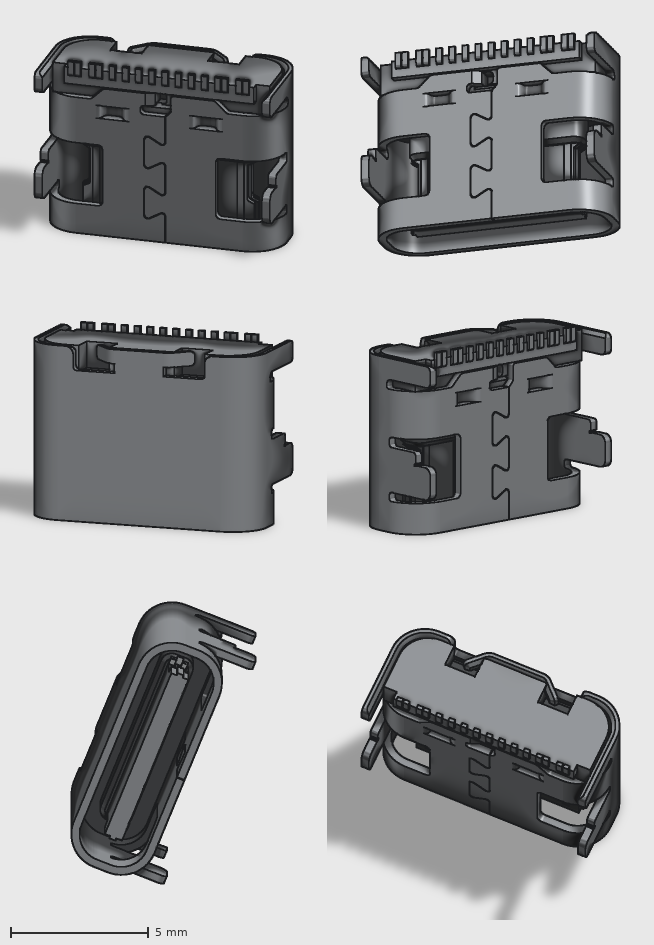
import cadquery as cq
import math

SHELL_WIDTH = 8.94
SHELL_DEPTH = 3.16
SHELL_HEIGHT = 6.48
SHEET = 0.30
OUTER_RADIUS = 1.30
HALF_WIDTH = SHELL_WIDTH / 2
BACK_Y = SHELL_DEPTH / 2
FRONT_Y = -BACK_Y
INNER_HALF_WIDTH = HALF_WIDTH - SHEET
INNER_BACK_Y = BACK_Y - SHEET
INNER_FRONT_Y = -INNER_BACK_Y
INNER_RADIUS = OUTER_RADIUS - SHEET
EDGE_CHAMFER = 0.15
MARGIN = 1.0
SELECT_REACH = 0.02

FRONT_SHOULDER_Z = 5.33
FRONT_CREST_Z = 5.78
CREST_HALF_WIDTH = 2.115
CREST_FOOT_HALF_WIDTH = 2.585
CREST_FILLET = 0.20
WINDOW_INNER_X = 1.16
WINDOW_WIDTH = 1.23
WINDOW_Z = 4.60
WINDOW_HEIGHT = 0.50
WINDOW_DIP = 0.40
DIP_FLOOR_START = 0.40
DIP_FLOOR_END = 0.70

SEAM_X = 0.245
TOOTH_TIP_X = -0.556
TOOTH_CENTRES_Z = (3.475, 1.50)
TOOTH_TIP_HALF_HEIGHT = 0.70
TOOTH_ROOT_HALF_HEIGHT = 0.25
TOOTH_FILLET = 0.13
SEAM_GAP = 0.025
RELIEF_LEFT_X = -0.534
RELIEF_RIGHT_X = 0.448
RELIEF_LIP_X = -0.19
RELIEF_LIP_DROP = 0.15
RELIEF_POCKET_X = -0.72
RELIEF_POCKET_TOP_Z = 5.29
RELIEF_FLOOR_Z = 4.94
RELIEF_BEND_Z = 5.15
RELIEF_FILLET = 0.10
RELIEF_POCKET_FILLET = 0.16

LEG_TIP_Y = -2.48
LEG_ROOT_Y = 0.0
UPPER_LEG_Z = 5.69
UPPER_LEG_FILLET = 0.21
UPPER_SLOT_END_Y = -0.124
UPPER_SLOT_TOP_FILLET = 0.22
UPPER_SLOT_BOTTOM_FILLET = 0.12
LOWER_LEG_Z = 1.50
LOWER_LEG_STEP_Z = 2.705
LOWER_LEG_TOP_Z = 3.175
LOWER_LEG_STEP_Y = -1.69
LOWER_LEG_FILLET = 0.29
STEP_FILLET = 0.13
STEP_RELIEF_DEPTH = 0.07
STEP_RELIEF_HEIGHT = 0.03
LEG_OPENING_Z = 1.16
LEG_OPENING_TOP_Z = 3.55
LEG_OPENING_END_Y = -0.274
LEG_OPENING_FRONT_X = 2.145
LEG_OPENING_FRONT_FILLET = 0.20
LEG_OPENING_SIDE_FILLET = 0.12

WING_ANGLE = math.radians(45)
WING_BEND_X = 1.18
WING_REACH = 0.725
WING_BEND_RADIUS = 0.50
WING_ROOT_X = 0.95
WING_TIP_FILLET = 0.16
WING_Z = 5.95
BACK_CUT_HALF_WIDTH = 2.555
BACK_CUT_Z = 5.60
BACK_CUT_TOP_FILLET = 0.29
BACK_CUT_BOTTOM_FILLET = 0.15

HOUSING_HALF_WIDTH = 4.12
HOUSING_Z = 4.20
HOUSING_BACK_RADIUS = 1.16
HOUSING_FRONT_RADIUS = 1.00
FRONT_LEDGE_HALF_WIDTH = 3.60
FRONT_LEDGE_Z = 5.835
NOTCH_INNER_X = 1.256
NOTCH_OUTER_X = 2.445
NOTCH_FRONT_Y = 0.446
NOTCH_Z = 5.50
NOTCH_CHAMFER = 0.15
RECESS_RIGHT_X = 0.20
RECESS_Z = 5.29
RECESS_FLOOR_Y = -0.75
RECESS_FILLET = 0.17
RAMP_SIZE = 0.14

BASE_HALF_WIDTH = 3.34
BASE_HALF_THICKNESS = 0.61
BASE_FILLET = 0.41
BASE_Z = 3.01
BASE_CHAMFER = 0.17
TONGUE_TIP_Z = 0.30
TONGUE_HALF_THICKNESS = 0.335
PLATE_HALF_THICKNESS = 0.12
LATCH_TOP_Z = 2.85
LATCH_BOTTOM_Z = 1.50
LATCH_RAMP = 0.12
LATCH_FILLET = 0.12
TONGUE_WAIST_HALF_WIDTH = 2.98
TONGUE_HALF_WIDTH = 3.24
PLATE_RIM = 0.09
CONTACT_CENTRES_X = (1.25, 2.74)
CONTACT_WIDTH = 0.26
CONTACT_RAISE = 0.05
CONTACT_BOTTOM_Z = 0.67

PIN_WIDTH = 0.22
PIN_BOTTOM_Z = 6.165
PIN_TOP_Z = 6.75
PIN_FRONT_Y = -1.70
PIN_BACK_Y = -1.56
PIN_FILLET = 0.13
PIN_PITCH = 0.50
SINGLE_PIN_COUNT = 8
PAIR_CENTRES_X = (2.385, 3.19)
PAIR_PITCH = 0.26


def box(x0, x1, y0, y1, z0, z1):
    """Axis-aligned box from its limits."""
    return cq.Workplane("XY").box(x1 - x0, y1 - y0, z1 - z0, centered=False).translate((x0, y0, z0))


def prism_xy(points, z0, z1):
    """Polygon in plan, extruded from z0 to z1."""
    return cq.Workplane("XY").workplane(offset=z0).polyline(points).close().extrude(z1 - z0)


def prism_xz(points, y0, y1):
    """Polygon in X and Z, extruded from y0 to y1."""
    return cq.Workplane("XZ", origin=(0, y0, 0)).polyline(points).close().extrude(y0 - y1)


def prism_yz(points, x0, x1):
    """Polygon in Y and Z, extruded from x0 to x1."""
    return cq.Workplane("YZ", origin=(x0, 0, 0)).polyline(points).close().extrude(x1 - x0)


def centred_at(x, y, z):
    """Selector for the edge whose middle lies at a point."""
    low = (x - SELECT_REACH, y - SELECT_REACH, z - SELECT_REACH)
    high = (x + SELECT_REACH, y + SELECT_REACH, z + SELECT_REACH)
    return cq.selectors.BoxSelector(low, high)


def mirrored(body):
    """The body together with its mirror image across the YZ plane."""
    return body.union(body.mirror("YZ"))


def rounded_block(half_width, half_depth, radius, z0, z1):
    block = box(-half_width, half_width, -half_depth, half_depth, z0, z1)
    return block.edges("|Z").fillet(radius)


def make_legs():
    """Upper and lower leg plates, lying in the planes of the two side walls."""
    upper = box(-HALF_WIDTH, HALF_WIDTH, LEG_TIP_Y, LEG_ROOT_Y, UPPER_LEG_Z, SHELL_HEIGHT)
    upper = upper.edges("|X and <Y").fillet(UPPER_LEG_FILLET)
    relief_y = LOWER_LEG_STEP_Y + STEP_RELIEF_DEPTH
    relief_z = LOWER_LEG_STEP_Z - STEP_RELIEF_HEIGHT
    lower = prism_yz(
        [
            (LEG_ROOT_Y, LOWER_LEG_Z),
            (LEG_TIP_Y, LOWER_LEG_Z),
            (LEG_TIP_Y, LOWER_LEG_STEP_Z),
            (LOWER_LEG_STEP_Y - STEP_RELIEF_DEPTH, LOWER_LEG_STEP_Z),
            (LOWER_LEG_STEP_Y, relief_z),
            (relief_y, relief_z),
            (relief_y, LOWER_LEG_STEP_Z + STEP_RELIEF_HEIGHT),
            (LOWER_LEG_STEP_Y, LOWER_LEG_STEP_Z + STEP_RELIEF_DEPTH),
            (LOWER_LEG_STEP_Y, LOWER_LEG_TOP_Z),
            (LEG_ROOT_Y, LOWER_LEG_TOP_Z),
        ],
        -HALF_WIDTH,
        HALF_WIDTH,
    )
    lower = lower.edges("|X and <Y").fillet(LOWER_LEG_FILLET)
    lower = lower.edges(centred_at(0, LOWER_LEG_STEP_Y, LOWER_LEG_TOP_Z)).fillet(STEP_FILLET)
    between = box(-INNER_HALF_WIDTH, INNER_HALF_WIDTH, LEG_TIP_Y, LEG_ROOT_Y, 0, SHELL_HEIGHT)
    return upper.union(lower).cut(between)


def make_leg_openings():
    """Cutters that free the lower legs and run round the front corners."""
    low_x = -HALF_WIDTH - MARGIN
    low_y = FRONT_Y - MARGIN
    face_cut = box(low_x, -LEG_OPENING_FRONT_X, low_y, LEG_OPENING_END_Y, LEG_OPENING_Z, LEG_OPENING_TOP_Z)
    side_cut = face_cut.edges("|X and >Y").fillet(LEG_OPENING_SIDE_FILLET)
    face_cut = face_cut.edges("|Y and >X").fillet(LEG_OPENING_FRONT_FILLET)
    return mirrored(face_cut.intersect(side_cut))


def make_upper_cut():
    """Cutter that removes the front wall above its shoulders."""
    slot = box(
        -HALF_WIDTH - MARGIN,
        HALF_WIDTH + MARGIN,
        FRONT_Y - MARGIN,
        UPPER_SLOT_END_Y,
        FRONT_SHOULDER_Z,
        UPPER_LEG_Z,
    )
    slot = slot.edges("|X and >Y and >Z").fillet(UPPER_SLOT_TOP_FILLET)
    slot = slot.edges("|X and >Y and <Z").fillet(UPPER_SLOT_BOTTOM_FILLET)
    corner_y = FRONT_Y + OUTER_RADIUS
    above = box(
        -HALF_WIDTH - MARGIN,
        HALF_WIDTH + MARGIN,
        FRONT_Y - MARGIN,
        corner_y,
        UPPER_LEG_Z,
        SHELL_HEIGHT + MARGIN,
    )
    return slot.union(above)


def make_front_crest():
    """Trapezoid that rises in the middle of the front wall."""
    return prism_xz(
        [
            (-CREST_FOOT_HALF_WIDTH, FRONT_SHOULDER_Z),
            (CREST_FOOT_HALF_WIDTH, FRONT_SHOULDER_Z),
            (CREST_HALF_WIDTH, FRONT_CREST_Z),
            (-CREST_HALF_WIDTH, FRONT_CREST_Z),
        ],
        FRONT_Y,
        INNER_FRONT_Y,
    )


def make_seam():
    """Narrow dovetailed gap where the two ends of the sheet meet."""
    outside_x = HALF_WIDTH + MARGIN
    outside_z = SHELL_HEIGHT + MARGIN
    points = [(outside_x, -MARGIN), (outside_x, outside_z), (SEAM_X, outside_z)]
    for centre in TOOTH_CENTRES_Z:
        points += [
            (SEAM_X, centre + TOOTH_ROOT_HALF_HEIGHT),
            (TOOTH_TIP_X, centre + TOOTH_TIP_HALF_HEIGHT),
            (TOOTH_TIP_X, centre - TOOTH_TIP_HALF_HEIGHT),
            (SEAM_X, centre - TOOTH_ROOT_HALF_HEIGHT),
        ]
    points.append((SEAM_X, -MARGIN))
    right_side = prism_xz(points, FRONT_Y - MARGIN, INNER_FRONT_Y)
    teeth = cq.selectors.BoxSelector(
        (TOOTH_TIP_X - SEAM_GAP, -BACK_Y - MARGIN, 0), (SEAM_X + SEAM_GAP, 0, RELIEF_FLOOR_Z)
    )
    right_side = right_side.edges("|Y").edges(teeth).fillet(TOOTH_FILLET)
    widened = right_side.faces("<Y").wires().toPending().workplane().offset2D(SEAM_GAP)
    return widened.extrude(-MARGIN - SHEET, combine=False).cut(right_side)


def make_relief():
    """Opening at the top end of the seam, with a pocket to its left."""
    crest_y = (FRONT_Y - MARGIN + INNER_FRONT_Y) / 2
    opening = prism_xz(
        [
            (RELIEF_LEFT_X, FRONT_CREST_Z + MARGIN),
            (RELIEF_LEFT_X, RELIEF_FLOOR_Z),
            (SEAM_X, RELIEF_FLOOR_Z),
            (RELIEF_RIGHT_X, RELIEF_BEND_Z),
            (RELIEF_RIGHT_X, FRONT_CREST_Z + MARGIN),
        ],
        FRONT_Y - MARGIN,
        INNER_FRONT_Y,
    )
    pocket = box(
        RELIEF_POCKET_X, SEAM_X, FRONT_Y - MARGIN, INNER_FRONT_Y, RELIEF_FLOOR_Z, RELIEF_POCKET_TOP_Z
    )
    pocket = pocket.edges("|Y and <X").fillet(RELIEF_POCKET_FILLET)
    opening = opening.union(pocket)
    opening = opening.edges(centred_at(RELIEF_RIGHT_X, crest_y, RELIEF_BEND_Z)).fillet(RELIEF_POCKET_FILLET)
    return opening.union(make_crest_rounding())


def make_relief_lip():
    """Lip of sheet that slopes inwards from the left side of the opening."""
    return prism_xy(
        [
            (RELIEF_LEFT_X, FRONT_Y),
            (RELIEF_LIP_X, FRONT_Y + RELIEF_LIP_DROP),
            (RELIEF_LIP_X, INNER_FRONT_Y),
            (RELIEF_LEFT_X, INNER_FRONT_Y),
        ],
        RECESS_Z,
        FRONT_CREST_Z,
    )


def make_crest_rounding():
    """Cutter that rounds the crest where it meets the right side of the opening."""
    corner = box(
        RELIEF_RIGHT_X,
        RELIEF_RIGHT_X + RELIEF_FILLET,
        FRONT_Y,
        INNER_FRONT_Y,
        FRONT_CREST_Z - RELIEF_FILLET,
        FRONT_CREST_Z,
    )
    centre = (RELIEF_RIGHT_X + RELIEF_FILLET, INNER_FRONT_Y, FRONT_CREST_Z - RELIEF_FILLET)
    rod = (
        cq.Workplane("XZ", origin=centre)
        .circle(RELIEF_FILLET)
        .extrude(SHEET)
    )
    return corner.cut(rod)


def make_window(left_x):
    """Band of the front wall pressed in between two S-shaped bends."""
    right_x = left_x + WINDOW_WIDTH
    floor_y = FRONT_Y + WINDOW_DIP
    floor_start = (left_x + DIP_FLOOR_START, floor_y)
    floor_end = (left_x + DIP_FLOOR_END, floor_y)
    along_wall = [(1, 0), (1, 0)]
    return (
        cq.Workplane("XY")
        .workplane(offset=WINDOW_Z)
        .moveTo(left_x, FRONT_Y)
        .spline([floor_start], tangents=along_wall, includeCurrent=True)
        .lineTo(*floor_end)
        .spline([(right_x, FRONT_Y)], tangents=along_wall, includeCurrent=True)
        .close()
        .extrude(WINDOW_HEIGHT)
    )


def make_back_cut():
    """Cutters for the back wall beside and beneath the two wings."""
    low_y = INNER_BACK_Y
    high_y = BACK_Y + MARGIN
    cut = box(-BACK_CUT_HALF_WIDTH, -WING_ROOT_X, low_y, high_y, BACK_CUT_Z, SHELL_HEIGHT)
    cut = cut.edges("|Y and <X and <Z").fillet(BACK_CUT_BOTTOM_FILLET)
    radius = BACK_CUT_TOP_FILLET
    corner = box(
        -BACK_CUT_HALF_WIDTH - radius,
        -BACK_CUT_HALF_WIDTH,
        low_y,
        high_y,
        SHELL_HEIGHT - radius,
        SHELL_HEIGHT,
    )
    rod = (
        cq.Workplane("XZ", origin=(-BACK_CUT_HALF_WIDTH - radius, high_y, SHELL_HEIGHT - radius))
        .circle(radius)
        .extrude(high_y - low_y)
    )
    return mirrored(cut.union(corner.cut(rod)))


def make_wings():
    """Strip of back wall whose two ends bend inwards at 45 degrees."""
    tip_x = WING_BEND_X + WING_REACH
    tip_y = BACK_Y - WING_REACH
    step = SHEET * math.sin(WING_ANGLE)
    inner_bend_x = WING_BEND_X - SHEET * math.tan(WING_ANGLE / 2)
    right = [
        (WING_BEND_X, BACK_Y),
        (tip_x, tip_y),
        (tip_x - step, tip_y - step),
        (inner_bend_x, INNER_BACK_Y),
    ]
    left = [(-x, y) for x, y in reversed(right)]
    strip = prism_xy(right + left, WING_Z, SHELL_HEIGHT)
    middle_z = (WING_Z + SHELL_HEIGHT) / 2
    for side in (-1, 1):
        outer_bend = centred_at(side * WING_BEND_X, BACK_Y, middle_z)
        inner_bend = centred_at(side * inner_bend_x, INNER_BACK_Y, middle_z)
        strip = strip.edges(outer_bend).fillet(WING_BEND_RADIUS)
        strip = strip.edges(inner_bend).fillet(WING_BEND_RADIUS - SHEET)
        for z in (WING_Z, SHELL_HEIGHT):
            tip_edge = centred_at(side * (tip_x - step / 2), tip_y - step / 2, z)
            strip = strip.edges(tip_edge).fillet(WING_TIP_FILLET)
    return strip.edges(centred_at(0, INNER_BACK_Y, SHELL_HEIGHT)).chamfer(EDGE_CHAMFER)


def make_shell():
    outer = rounded_block(HALF_WIDTH, BACK_Y, OUTER_RADIUS, 0, SHELL_HEIGHT)
    inner = rounded_block(INNER_HALF_WIDTH, INNER_BACK_Y, INNER_RADIUS, 0, SHELL_HEIGHT)
    shell = outer.cut(inner)
    shell = shell.cut(make_upper_cut()).cut(make_leg_openings())
    shell = shell.union(make_legs()).union(make_front_crest())
    wall_middle_y = (FRONT_Y + INNER_FRONT_Y) / 2
    for side in (-1, 1):
        foot = centred_at(side * CREST_FOOT_HALF_WIDTH, wall_middle_y, FRONT_SHOULDER_Z)
        top = centred_at(side * CREST_HALF_WIDTH, wall_middle_y, FRONT_CREST_Z)
        shell = shell.edges(foot + top).fillet(CREST_FILLET)
        wall_middle_x = side * (HALF_WIDTH - SHEET / 2)
        leg_root = centred_at(wall_middle_x, LEG_OPENING_END_Y, LOWER_LEG_Z)
        leg_root += centred_at(wall_middle_x, LEG_OPENING_END_Y, LOWER_LEG_TOP_Z)
        shell = shell.edges(leg_root).fillet(LEG_OPENING_SIDE_FILLET)
    flare_half_width = INNER_HALF_WIDTH + EDGE_CHAMFER
    flare = box(
        -flare_half_width,
        flare_half_width,
        LEG_TIP_Y - MARGIN,
        INNER_BACK_Y + EDGE_CHAMFER,
        SHELL_HEIGHT - EDGE_CHAMFER,
        SHELL_HEIGHT + MARGIN,
    )
    flare = flare.edges("|Z and >Y").fillet(INNER_RADIUS + EDGE_CHAMFER).faces("<Z").chamfer(EDGE_CHAMFER)
    shell = shell.cut(flare).cut(make_back_cut()).union(make_wings())
    return shell.cut(make_seam()).cut(make_relief()).union(make_relief_lip())


def make_housing():
    body = box(
        -HOUSING_HALF_WIDTH, HOUSING_HALF_WIDTH, INNER_FRONT_Y, INNER_BACK_Y, HOUSING_Z, SHELL_HEIGHT
    )
    body = body.edges("|Z and >Y").fillet(HOUSING_BACK_RADIUS)
    lower_envelope = rounded_block(
        HOUSING_HALF_WIDTH, INNER_BACK_Y, HOUSING_FRONT_RADIUS, HOUSING_Z, FRONT_SHOULDER_Z
    )
    upper_envelope = box(
        -HOUSING_HALF_WIDTH, HOUSING_HALF_WIDTH, INNER_FRONT_Y, INNER_BACK_Y, FRONT_SHOULDER_Z, SHELL_HEIGHT
    )
    body = body.intersect(lower_envelope.union(upper_envelope))
    ledge = box(
        -FRONT_LEDGE_HALF_WIDTH, FRONT_LEDGE_HALF_WIDTH, FRONT_Y, INNER_FRONT_Y, FRONT_LEDGE_Z, SHELL_HEIGHT
    )
    notch = box(-NOTCH_OUTER_X, -NOTCH_INNER_X, NOTCH_FRONT_Y, BACK_Y, NOTCH_Z, SHELL_HEIGHT)
    notch_bevel = prism_yz(
        [
            (INNER_BACK_Y - NOTCH_CHAMFER, NOTCH_Z),
            (INNER_BACK_Y, NOTCH_Z - NOTCH_CHAMFER),
            (INNER_BACK_Y, NOTCH_Z),
        ],
        -NOTCH_OUTER_X,
        -NOTCH_INNER_X,
    )
    return body.union(ledge).cut(mirrored(notch.union(notch_bevel))).cut(make_relief_recess())


def make_relief_recess():
    """Hollow in the plastic behind the opening at the top of the seam."""
    hollow = box(RELIEF_LIP_X, RECESS_RIGHT_X, INNER_FRONT_Y, RECESS_FLOOR_Y, RECESS_Z, FRONT_CREST_Z)
    hollow = hollow.edges("|Y and >X").fillet(RECESS_FILLET)
    ramp = prism_yz(
        [
            (INNER_FRONT_Y, RECESS_Z - RAMP_SIZE),
            (INNER_FRONT_Y + RAMP_SIZE, RECESS_Z),
            (INNER_FRONT_Y, RECESS_Z),
        ],
        RELIEF_LEFT_X,
        RELIEF_RIGHT_X,
    )
    return hollow.union(ramp)


def tongue_layer(waist, width, half_thickness):
    """Flat layer of the tongue, waisted on both sides by the latch notches."""
    right = [
        (width, TONGUE_TIP_Z),
        (width, LATCH_BOTTOM_Z - LATCH_RAMP),
        (waist, LATCH_BOTTOM_Z),
        (waist, LATCH_TOP_Z),
        (width, BASE_Z),
    ]
    left = [(-x, z) for x, z in reversed(right)]
    layer = prism_xz(right + left, -half_thickness, half_thickness)
    corners = centred_at(-waist, 0, LATCH_BOTTOM_Z) + centred_at(waist, 0, LATCH_BOTTOM_Z)
    return layer.edges(corners).fillet(LATCH_FILLET)


def make_tongue():
    base = rounded_block(BASE_HALF_WIDTH, BASE_HALF_THICKNESS, BASE_FILLET, BASE_Z, HOUSING_Z)
    base = base.faces("<Z").chamfer(BASE_CHAMFER)
    plastic = tongue_layer(TONGUE_WAIST_HALF_WIDTH, TONGUE_HALF_WIDTH, TONGUE_HALF_THICKNESS)
    plate = tongue_layer(
        TONGUE_WAIST_HALF_WIDTH + PLATE_RIM, TONGUE_HALF_WIDTH + PLATE_RIM, PLATE_HALF_THICKNESS
    )
    tongue = base.union(plastic).union(plate)
    for centre in CONTACT_CENTRES_X:
        contact = box(
            centre - CONTACT_WIDTH / 2,
            centre + CONTACT_WIDTH / 2,
            -TONGUE_HALF_THICKNESS - CONTACT_RAISE,
            -PLATE_HALF_THICKNESS,
            CONTACT_BOTTOM_Z,
            BASE_Z,
        )
        tongue = tongue.union(mirrored(contact))
    return tongue


def make_pins():
    singles = [(i - (SINGLE_PIN_COUNT - 1) / 2) * PIN_PITCH for i in range(SINGLE_PIN_COUNT)]
    pairs = [
        side * (centre + offset)
        for side in (-1, 1)
        for centre in PAIR_CENTRES_X
        for offset in (-PAIR_PITCH / 2, PAIR_PITCH / 2)
    ]
    pin = box(-PIN_WIDTH / 2, PIN_WIDTH / 2, PIN_FRONT_Y, PIN_BACK_Y, PIN_BOTTOM_Z, PIN_TOP_Z)
    pin = pin.edges("|X and <Y and <Z").fillet(PIN_FILLET)
    return [pin.translate((x, 0, 0)) for x in singles + pairs]


result = make_shell().union(make_housing()).union(make_tongue())
for window_x in (-WINDOW_INNER_X - WINDOW_WIDTH, WINDOW_INNER_X):
    result = result.cut(make_window(window_x))
for solder_pin in make_pins():
    result = result.union(solder_pin)